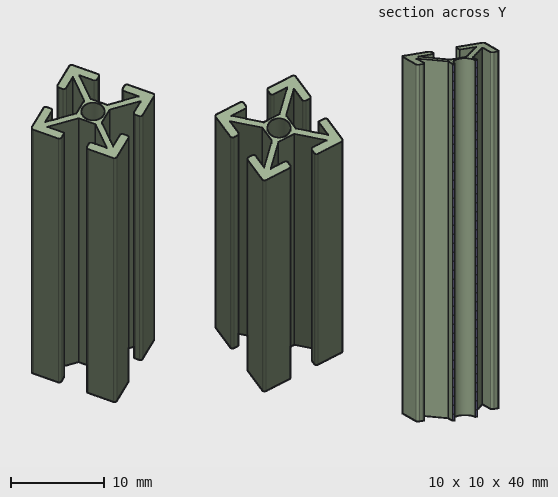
import cadquery as cq
import math

side = 10.0
length = 40.0

slot_opening = 3.0
lip_thickness = 1.0
hub_width = slot_opening
web_thickness = 0.7
bore_diameter = 2.5
edge_radius = 0.3

half = side / 2
lip_end = slot_opening / 2
lip_inner = half - lip_thickness
lip_length = half - lip_end
corner_signs = [(-1, -1), (-1, 1), (1, -1), (1, 1)]


def make_lip(sharp_inner_tip=False):
    """Lip along X in the +X +Y corner, with rounded tip edges."""
    lip = (
        cq.Workplane("XY")
        .box(lip_length, lip_thickness, length, centered=False)
        .translate((lip_end, lip_inner, 0))
    )
    tip_edges = lip.faces("<X").edges("|Z")
    if sharp_inner_tip:
        tip_edges = tip_edges.edges(">Y")
    lip = tip_edges.fillet(edge_radius)
    return lip.edges("|Z and >X and >Y").fillet(edge_radius)


def make_corner(sign_x, sign_y):
    """Pair of lips forming one outer corner of the profile."""
    is_sharp = (sign_x, sign_y) == (-1, -1)
    x_lip = make_lip(is_sharp)
    y_lip = make_lip().mirror("YZ").rotate((0, 0, 0), (0, 0, 1), -90)
    corner = x_lip.union(y_lip)
    if sign_x < 0:
        corner = corner.mirror("YZ")
    if sign_y < 0:
        corner = corner.mirror("XZ")
    return corner


def make_web(angle):
    """Diagonal web joining two opposite corners through the hub."""
    web_length = 2 * math.sqrt(2) * (half - lip_thickness / 2)
    return (
        cq.Workplane("XY")
        .box(web_length, web_thickness, length, centered=(True, True, False))
        .rotate((0, 0, 0), (0, 0, 1), angle)
    )


result = cq.Workplane("XY").box(hub_width, hub_width, length, centered=(True, True, False))
for web_angle in (45, -45):
    result = result.union(make_web(web_angle))
for sign_x, sign_y in corner_signs:
    result = result.union(make_corner(sign_x, sign_y))

bore = cq.Workplane("XY").circle(bore_diameter / 2).extrude(length)
result = result.cut(bore)